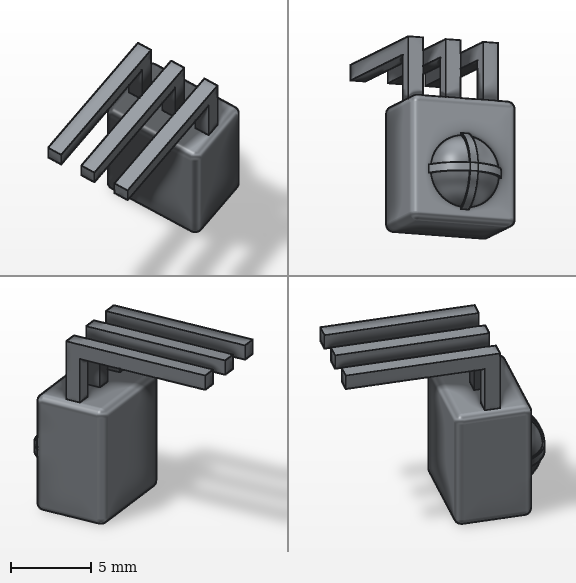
import cadquery as cq

body_width = 7.0
body_depth = 5.0
body_height = 8.0
edge_radius = 0.5

lead_count = 3
lead_pitch = 2.5
lead_size = 1.0
lead_rise = 4.0
lead_length = 10.0
lead_setback = 2.0

lens_radius = 2.5
band_radius = 2.63
band_width = 0.53
band_projection = 1.62
lens_height = 3.25

rear_y = body_depth / 2


def make_body():
    block = cq.Workplane("XY").box(body_width, body_depth, body_height, centered=(True, True, False))
    return block.edges().fillet(edge_radius)


def add_lens(body):
    center = (0, rear_y + band_projection - band_radius, lens_height)
    ball = cq.Workplane("XY", origin=center).sphere(lens_radius)
    body = body.union(ball)
    for plane in ("YZ", "XY"):
        band = cq.Workplane(plane, origin=center).circle(band_radius).extrude(band_width / 2, both=True)
        body = body.union(band)
    return body


def make_lead(x):
    lead_rear = rear_y - lead_setback
    lead_top = body_height + lead_rise
    return (
        cq.Workplane("YZ", origin=(x - lead_size / 2, 0, 0))
        .moveTo(lead_rear, body_height - edge_radius)
        .lineTo(lead_rear, lead_top)
        .lineTo(lead_rear - lead_length, lead_top)
        .lineTo(lead_rear - lead_length, lead_top - lead_size)
        .lineTo(lead_rear - lead_size, lead_top - lead_size)
        .lineTo(lead_rear - lead_size, body_height - edge_radius)
        .close()
        .extrude(lead_size)
    )


result = add_lens(make_body())
for index in range(lead_count):
    result = result.union(make_lead((index - (lead_count - 1) / 2) * lead_pitch))